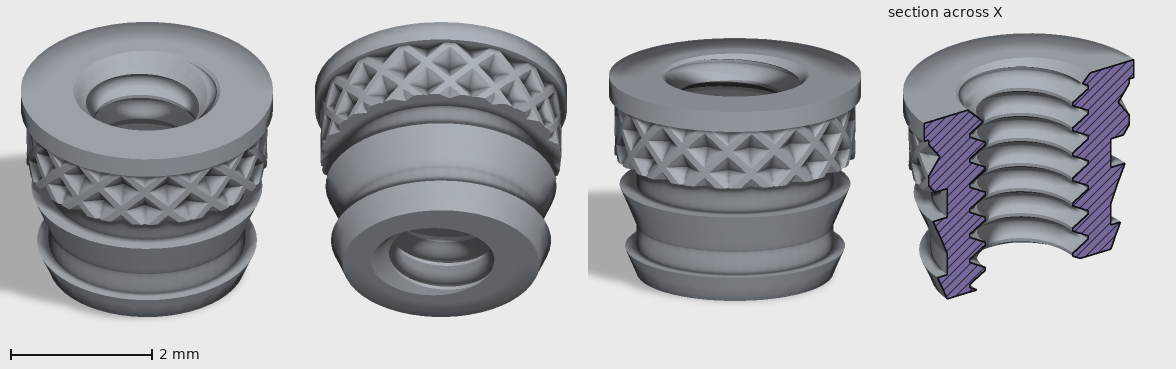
import cadquery as cq
import math

TOTAL_HEIGHT = 2.92

HEAD_DIAMETER = 3.58
HEAD_THICKNESS = 0.295
HEAD_BOTTOM = TOTAL_HEIGHT - HEAD_THICKNESS

BARREL_DIAMETER = 2.79
LOWER_BARB_DIAMETER = 3.12
LOWER_BARB_TOP = 0.395
UPPER_BARB_DIAMETER = 3.275
UPPER_BARB_BOTTOM = 0.725
UPPER_BARB_TOP = 1.31

KNURL_DIAMETER = 3.415
KNURL_BOTTOM = 1.76
PITS_PER_ROW = 16
PIT_ROWS = 4
PIT_ROW_SPACING = 0.33
FIRST_PIT_ROW_HEIGHT = 1.65
PIT_HALF_HEIGHT = 0.255
PIT_HALF_ANGLE = 9.0
PIT_DEPTH = 0.19
PIT_OVERSHOOT = 1.15

THREAD_MAJOR_DIAMETER = 2.0
THREAD_PITCH = THREAD_MAJOR_DIAMETER / 5
FLANK_ANGLE = 30.0
FLAT_WIDTH = THREAD_PITCH / 8
THREAD_DEPTH = (THREAD_PITCH / 2 - FLAT_WIDTH) / math.tan(math.radians(FLANK_ANGLE))
MAJOR_RADIUS = THREAD_MAJOR_DIAMETER / 2
MINOR_RADIUS = MAJOR_RADIUS - THREAD_DEPTH
GROOVE_OVERLAP = 0.01

MOUTH_DIAMETER = 2.085
BORE_SEAM_ANGLE = 140.0
MOUTH_DEPTH = MOUTH_DIAMETER / 2 - MINOR_RADIUS


def make_body():
    """Turned outside of the insert, without knurl pits or bore."""
    barrel_radius = BARREL_DIAMETER / 2
    knurl_radius = KNURL_DIAMETER / 2
    head_radius = HEAD_DIAMETER / 2
    outline = [
        (0, 0),
        (barrel_radius, 0),
        (LOWER_BARB_DIAMETER / 2, LOWER_BARB_TOP),
        (barrel_radius, LOWER_BARB_TOP),
        (barrel_radius, UPPER_BARB_BOTTOM),
        (UPPER_BARB_DIAMETER / 2, UPPER_BARB_TOP),
        (barrel_radius, UPPER_BARB_TOP),
        (barrel_radius, KNURL_BOTTOM),
        (knurl_radius, KNURL_BOTTOM),
        (knurl_radius, HEAD_BOTTOM),
        (head_radius, HEAD_BOTTOM),
        (head_radius, TOTAL_HEIGHT),
        (0, TOTAL_HEIGHT),
    ]
    return cq.Workplane("XZ").polyline(outline).close().revolve(360, (0, 0), (0, 1))


def make_pit():
    """Pyramid at height zero facing +X, its point towards the axis."""
    knurl_radius = KNURL_DIAMETER / 2
    half_angle = math.radians(PIT_HALF_ANGLE)
    apex = cq.Vector(knurl_radius - PIT_DEPTH, 0, 0)
    side_x = knurl_radius * math.cos(half_angle)
    side_y = knurl_radius * math.sin(half_angle)
    pit_corners = [
        cq.Vector(knurl_radius, 0, PIT_HALF_HEIGHT),
        cq.Vector(side_x, side_y, 0),
        cq.Vector(knurl_radius, 0, -PIT_HALF_HEIGHT),
        cq.Vector(side_x, -side_y, 0),
    ]
    corners = [apex + (corner - apex) * PIT_OVERSHOOT for corner in pit_corners]
    top, left, bottom, right = corners
    triangles = [(apex, corners[i - 1], corners[i]) for i in range(len(corners))]
    triangles += [(top, left, right), (bottom, right, left)]
    faces = [cq.Face.makeFromWires(cq.Wire.makePolygon(points, close=True)) for points in triangles]
    return cq.Solid.makeSolid(cq.Shell.makeShell(faces))


def make_knurl_pits():
    """All pits, each row turned half a step from the one below; none reaches into the head."""
    pit = make_pit()
    step = 360 / PITS_PER_ROW
    pits = []
    for row in range(PIT_ROWS):
        height = FIRST_PIT_ROW_HEIGHT + row * PIT_ROW_SPACING
        stagger = step / 2 * (row % 2)
        for column in range(PITS_PER_ROW):
            turned = pit.rotate(cq.Vector(0, 0, 0), cq.Vector(0, 0, 1), stagger + column * step)
            pits.append(turned.translate(cq.Vector(0, 0, height)))
    band = (
        cq.Workplane("XY", origin=(0, 0, KNURL_BOTTOM))
        .circle(HEAD_DIAMETER / 2)
        .extrude(HEAD_BOTTOM - KNURL_BOTTOM)
    )
    return band.intersect(cq.Workplane(cq.Compound.makeCompound(pits)))


def make_bore():
    """Minor-diameter bore with the lead-in cone at its top."""
    outline = [
        (0, 0),
        (MINOR_RADIUS, 0),
        (MINOR_RADIUS, TOTAL_HEIGHT - MOUTH_DEPTH),
        (MOUTH_DIAMETER / 2, TOTAL_HEIGHT),
        (0, TOTAL_HEIGHT),
    ]
    bore = cq.Workplane("XZ").polyline(outline).close().revolve(360, (0, 0), (0, 1))
    return bore.rotate((0, 0, 0), (0, 0, 1), BORE_SEAM_ANGLE)


def make_thread_groove():
    """Helical groove running past both ends; it is centred on Z = 0 at the +X side."""
    turns = math.ceil(TOTAL_HEIGHT / THREAD_PITCH) + 2
    start = -THREAD_PITCH
    inner_radius = MINOR_RADIUS - GROOVE_OVERLAP
    half_root = FLAT_WIDTH / 2
    half_mouth = half_root + (MAJOR_RADIUS - inner_radius) * math.tan(math.radians(FLANK_ANGLE))
    profile = [
        (inner_radius, start - half_mouth),
        (MAJOR_RADIUS, start - half_root),
        (MAJOR_RADIUS, start + half_root),
        (inner_radius, start + half_mouth),
    ]
    helix = cq.Wire.makeHelix(THREAD_PITCH, turns * THREAD_PITCH, MINOR_RADIUS, cq.Vector(0, 0, start))
    return cq.Workplane("XZ").polyline(profile).close().sweep(cq.Workplane(helix), isFrenet=True)


result = make_body().cut(make_bore()).cut(make_thread_groove()).cut(make_knurl_pits())